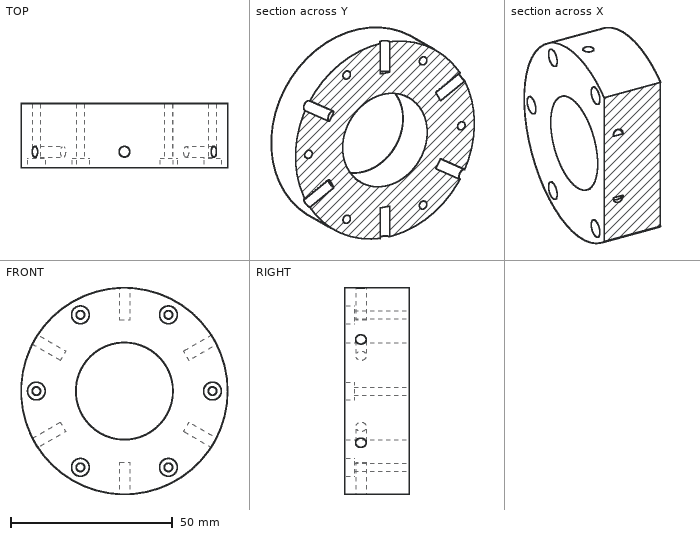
import cadquery as cq

outer_diameter = 64.0
bore_diameter = 30.0
width = 20.0
front_y = -width / 2

screw_count = 6
screw_circle_diameter = 54.5
screw_hole_diameter = 2.5
counterbore_diameter = 5.5
counterbore_depth = 3.0

radial_hole_diameter = 3.3
radial_hole_depth = 10.0
radial_hole_setback = 5.0

angle_step = 360 / screw_count


def make_ring():
    """Plain ring extruded from the front face towards +Y."""
    front_plane = cq.Workplane("XZ", origin=(0, front_y, 0))
    return front_plane.circle(outer_diameter / 2).circle(bore_diameter / 2).extrude(-width)


def make_screw_cutter():
    """Through hole with counterbore, on the +X side."""
    plane = cq.Workplane("XZ", origin=(screw_circle_diameter / 2, front_y, 0))
    hole = plane.circle(screw_hole_diameter / 2).extrude(-width)
    counterbore = plane.circle(counterbore_diameter / 2).extrude(-counterbore_depth)
    return hole.union(counterbore)


def make_radial_cutter():
    """Blind hole drilled from the top of the rim towards the axis."""
    rim_top = (0, front_y + radial_hole_setback, outer_diameter / 2)
    return cq.Workplane("XY", origin=rim_top).circle(radial_hole_diameter / 2).extrude(-radial_hole_depth)


result = make_ring()
for cutter in (make_screw_cutter(), make_radial_cutter()):
    for index in range(screw_count):
        result = result.cut(cutter.rotate((0, 0, 0), (0, 1, 0), index * angle_step))